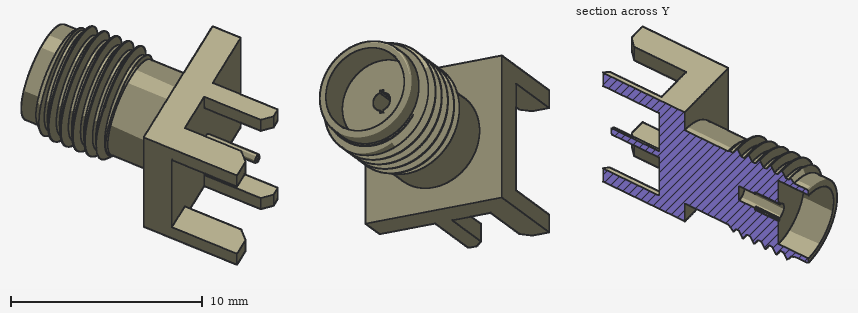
import cadquery as cq
import math


FLANGE_SIZE = 8.0
FLANGE_THICKNESS = 1.65
LEG_LENGTH = 3.8
LEG_HEIGHT = 1.0
LEG_TIP_CHAMFER = 0.5
CENTER_LEG_Y = (-0.25, 0.75)
CORNER_LEG_Y = (-FLANGE_SIZE / 2, -2.5)

BARREL_LENGTH = 7.85
BARREL_RADIUS = 2.7
RIM_FILLET = 0.1

THREAD_START = 0.9
THREAD_END = 5.1
THREAD_PITCH = 25.4 / 36
THREAD_MAJOR_RADIUS = 3.175
THREAD_ROOT_RADIUS = 2.775
THREAD_CREST_WIDTH = 0.06
THREAD_FLANK_ANGLE = 30.0
THREAD_TOP_CREST_X = 1.7
THREAD_OVERLAP = 0.05

BORE_RADIUS = 2.3
BORE_DEPTH = 1.9
INSULATOR_RADIUS = 2.05
CONTACT_RADIUS = 0.635
CONTACT_HOLE_RADIUS = 0.5
CONTACT_HOLE_DEPTH = 2.5
CONTACT_SLOT_WIDTH = 0.2
CONTACT_SLOT_DEPTH = 1.5

PIN_RADIUS = 0.25
PIN_LENGTH = 3.03
PIN_TIP_CHAMFER = 0.08

FLANGE_BACK = BARREL_LENGTH + FLANGE_THICKNESS


def cylinder(start, length, radius):
    """Cylinder on the X axis, running toward +X from x = start."""
    return cq.Workplane("YZ", origin=(start, 0, 0)).circle(radius).extrude(length)


def revolve_profile(points):
    """Turn a closed (x, radius) outline about the X axis."""
    return cq.Workplane("XY").polyline(points).close().revolve(360, (0, 0, 0), (1, 0, 0))


def make_barrel():
    return cylinder(0, BARREL_LENGTH, BARREL_RADIUS).faces("<X").edges().fillet(RIM_FILLET)


def make_thread():
    """Helical ridge on a root cylinder, with both ends turned down at 45 degrees."""
    first_crest = THREAD_TOP_CREST_X - 2 * THREAD_PITCH
    turns = math.ceil((THREAD_END - first_crest) / THREAD_PITCH) + 1
    ridge_bottom = THREAD_ROOT_RADIUS - THREAD_OVERLAP
    crest_half = THREAD_CREST_WIDTH / 2
    flank_run = (THREAD_MAJOR_RADIUS - ridge_bottom) * math.tan(math.radians(THREAD_FLANK_ANGLE))
    base_half = crest_half + flank_run

    helix = cq.Wire.makeHelix(THREAD_PITCH, turns * THREAD_PITCH, ridge_bottom)
    ridge = (
        cq.Workplane("XZ")
        .polyline([
            (ridge_bottom, -base_half),
            (THREAD_MAJOR_RADIUS, -crest_half),
            (THREAD_MAJOR_RADIUS, crest_half),
            (ridge_bottom, base_half),
        ])
        .close()
        .sweep(cq.Workplane(obj=helix), isFrenet=True)
        .rotate((0, 0, 0), (0, 0, 1), 180)
        .rotate((0, 0, 0), (0, 1, 0), 90)
        .translate((first_crest, 0, 0))
    )
    root = cylinder(first_crest, turns * THREAD_PITCH, THREAD_ROOT_RADIUS)

    outer = THREAD_MAJOR_RADIUS + THREAD_OVERLAP
    end_taper = outer - BARREL_RADIUS
    envelope = revolve_profile([
        (THREAD_START, 0),
        (THREAD_START, BARREL_RADIUS),
        (THREAD_START + end_taper, outer),
        (THREAD_END - end_taper, outer),
        (THREAD_END, BARREL_RADIUS),
        (THREAD_END, 0),
    ])
    return root.union(ridge).intersect(envelope)


def make_flange():
    return cq.Workplane("XY").box(
        FLANGE_THICKNESS, FLANGE_SIZE, FLANGE_SIZE, centered=(False, True, True)
    ).translate((BARREL_LENGTH, 0, 0))


def make_leg(chamfered_y, square_y, bottom_z):
    """Leg behind the flange whose tip is chamfered on the chamfered_y side only."""
    tip = FLANGE_BACK + LEG_LENGTH
    toward_square = math.copysign(LEG_TIP_CHAMFER, square_y - chamfered_y)
    return (
        cq.Workplane("XY", origin=(0, 0, bottom_z))
        .polyline([
            (BARREL_LENGTH, square_y),
            (tip, square_y),
            (tip, chamfered_y + toward_square),
            (tip - LEG_TIP_CHAMFER, chamfered_y),
            (BARREL_LENGTH, chamfered_y),
        ])
        .close()
        .extrude(LEG_HEIGHT)
    )


def make_pin():
    pin = cylinder(BARREL_LENGTH, FLANGE_THICKNESS + PIN_LENGTH, PIN_RADIUS)
    return pin.faces(">X").chamfer(PIN_TIP_CHAMFER)


def make_insulator():
    ring = cylinder(BORE_DEPTH, BARREL_LENGTH - BORE_DEPTH, INSULATOR_RADIUS)
    return ring.cut(cylinder(BORE_DEPTH, BARREL_LENGTH - BORE_DEPTH, CONTACT_RADIUS))


def make_contact():
    """Center contact with a blind hole whose wall is split by two slots."""
    slot = cq.Workplane("XY").box(
        CONTACT_SLOT_DEPTH, CONTACT_SLOT_WIDTH, 2 * CONTACT_RADIUS, centered=(False, True, True)
    ).translate((BORE_DEPTH, 0, 0))
    contact = cylinder(BORE_DEPTH, BARREL_LENGTH - BORE_DEPTH, CONTACT_RADIUS)
    return contact.cut(cylinder(BORE_DEPTH, CONTACT_HOLE_DEPTH, CONTACT_HOLE_RADIUS)).cut(slot)


body = make_barrel().union(make_thread()).union(make_flange())
for leg_bottom in (-FLANGE_SIZE / 2, FLANGE_SIZE / 2 - LEG_HEIGHT):
    body = body.union(make_leg(CENTER_LEG_Y[0], CENTER_LEG_Y[1], leg_bottom))
    body = body.union(make_leg(CORNER_LEG_Y[1], CORNER_LEG_Y[0], leg_bottom))
body = body.union(make_pin())

body = body.cut(cylinder(0, BORE_DEPTH, BORE_RADIUS))
body = body.cut(cylinder(0, BARREL_LENGTH, INSULATOR_RADIUS))

body = body.union(make_insulator(), clean=False)
result = body.union(make_contact(), clean=False)